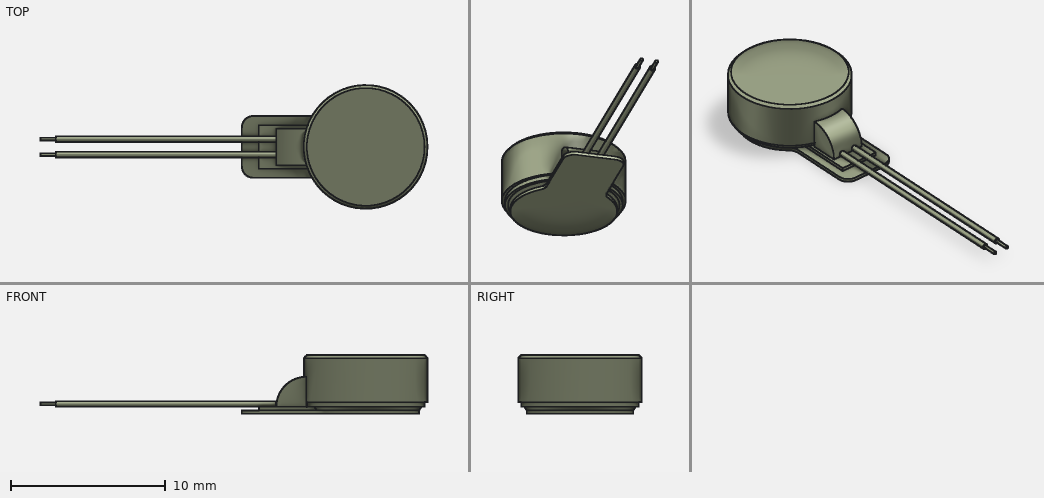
import cadquery as cq
import math

TOTAL_HEIGHT = 3.8
SHEET_TOP = 0.22
BOARD_TOP = 0.45
WALL_BOTTOM = 0.75

CAN_RADIUS = 4.0
CAN_CHAMFER = 0.2
STEP_RADIUS = CAN_RADIUS - CAN_CHAMFER
NECK_TOP_RADIUS = 3.6

SHEET_RADIUS = 3.45
NECK_BOTTOM_RADIUS = SHEET_RADIUS
SHEET_LENGTH = 8.0
SHEET_WIDTH = 4.0
SHEET_CORNER = 0.75
BOARD_LENGTH = 6.9
BOARD_WIDTH = 2.8

RELIEF_RADIUS = 1.95
RELIEF_WIDTH = 2.35
RELIEF_BACK = -3.82
RELIEF_FRONT = RELIEF_BACK - RELIEF_RADIUS

WIRE_DIAMETER = 0.38
CORE_DIAMETER = 0.2
WIRE_TIP = -21.0
STRIPPED_LENGTH = 1.0
WIRE_PITCH = 1.0
WIRE_Z = BOARD_TOP + WIRE_DIAMETER / 2


def make_can():
    """Turned can with a chamfered top rim, a stepped foot and a tapered neck."""
    profile = [
        (0, SHEET_TOP),
        (NECK_BOTTOM_RADIUS, SHEET_TOP),
        (NECK_TOP_RADIUS, BOARD_TOP),
        (STEP_RADIUS, BOARD_TOP),
        (STEP_RADIUS, WALL_BOTTOM),
        (CAN_RADIUS, WALL_BOTTOM),
        (CAN_RADIUS, TOTAL_HEIGHT - CAN_CHAMFER),
        (CAN_RADIUS - CAN_CHAMFER, TOTAL_HEIGHT),
        (0, TOTAL_HEIGHT),
    ]
    return cq.Workplane("XZ").polyline(profile).close().revolve(360, (0, 0), (0, 1))


def make_tab(length, width, bottom, top):
    """Flat tab reaching from the Z axis towards -X."""
    tab = cq.Workplane("XY").box(length, width, top - bottom, centered=(False, True, False))
    return tab.translate((-length, 0, bottom))


def make_base():
    """Round sheet with a rounded tab, carrying the raised board."""
    disc = cq.Workplane("XY").circle(SHEET_RADIUS).extrude(SHEET_TOP)
    tab = make_tab(SHEET_LENGTH, SHEET_WIDTH, 0, SHEET_TOP).edges("|Z and <X").fillet(SHEET_CORNER)
    sheet = disc.union(tab)
    junction_x = -math.sqrt(SHEET_RADIUS**2 - (SHEET_WIDTH / 2) ** 2)
    for side in (-1, 1):
        junction = (junction_x, side * SHEET_WIDTH / 2, SHEET_TOP / 2)
        sheet = sheet.edges(cq.selectors.NearestToPointSelector(junction)).fillet(SHEET_CORNER)
    board = make_tab(BOARD_LENGTH, BOARD_WIDTH, SHEET_TOP, BOARD_TOP)
    return sheet.union(board)


def make_motor():
    """Motor housing: the can and its base in one piece."""
    return make_can().union(make_base())


def make_relief(motor):
    """Quarter-round block on the board, its back hollowed to fit against the motor."""
    block = (
        cq.Workplane("XZ", origin=(0, RELIEF_WIDTH / 2, 0))
        .moveTo(RELIEF_BACK, BOARD_TOP)
        .lineTo(RELIEF_FRONT, BOARD_TOP)
        .radiusArc((RELIEF_BACK, BOARD_TOP + RELIEF_RADIUS), RELIEF_RADIUS)
        .close()
        .extrude(RELIEF_WIDTH)
    )
    return block.cut(motor)


def make_wire(y):
    """Insulated wire along X with a bare core at its free end."""
    start = cq.Workplane("YZ", origin=(WIRE_TIP, y, WIRE_Z))
    core = start.circle(CORE_DIAMETER / 2).extrude(STRIPPED_LENGTH)
    insulation_length = RELIEF_FRONT - WIRE_TIP - STRIPPED_LENGTH
    return core.faces(">X").workplane().circle(WIRE_DIAMETER / 2).extrude(insulation_length)


motor = make_motor()
relief = make_relief(motor)
wires = [make_wire(side * WIRE_PITCH / 2) for side in (-1, 1)]
result = cq.Compound.makeCompound([motor.val(), relief.val(), *[wire.val() for wire in wires]])